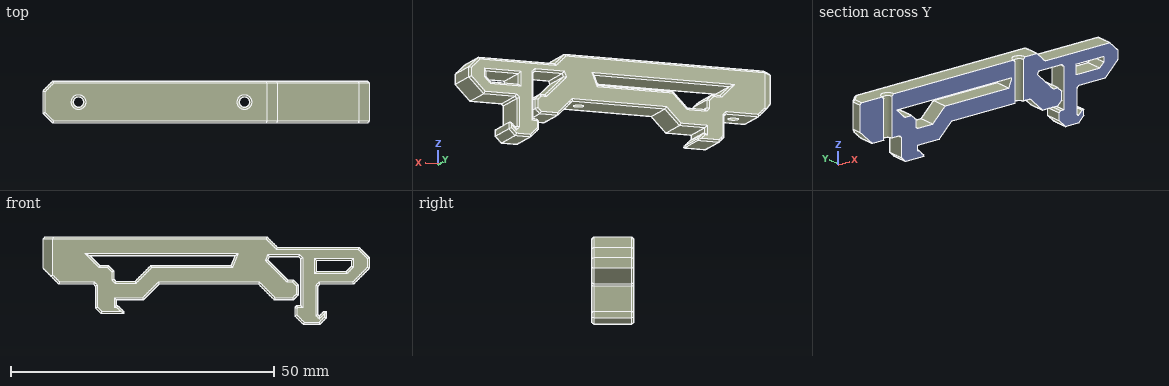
import cadquery as cq

LENGTH = 62.0
WIDTH = 8.0
HEIGHT = 16.6

EDGE_CHAMFER = 0.4
END_CORNER = 1.85

TOP = 0.0
STEP_TOP = -2.0
BEAM_BOTTOM = -9.0
LUG_BOTTOM = -11.95
CATCH_TOP = -13.0
LEFT_FOOT_BOTTOM = -14.6
RIGHT_FOOT_BOTTOM = -HEIGHT

LEFT_FOOT_X = 10.0
LEFT_CATCH_X = 13.95
LEFT_CATCH_TIP_X = 15.4
LEFT_CATCH_TIP_HEIGHT = 0.4
LEFT_FOOT_CORNER = 1.05

LEFT_END_SLOPE = 3.05
BEAM_BOTTOM_LEFT_X = 22.1
BEAM_BOTTOM_RIGHT_X = 40.9
LUG_DROP = BEAM_BOTTOM - LUG_BOTTOM

NOSE_X = 48.5
NOSE_TOP = -8.2
NOSE_CORNER = 0.9
NOSE_TOP_LEFT_X = 46.5

OPENING_TOP = -3.8
OPENING_LEFT_X = 42.95
OPENING_CORNER_X = 42.7

LEG_LEFT_X = 48.9
LEG_RIGHT_X = 52.2
INNER_CORNER = 0.4
LEG_FOOT_X = 47.8
LEG_FOOT_CORNER = 1.6
HOOK_X = 53.8
HOOK_TOP = -14.15
HOOK_CORNER = 1.25
HOOK_VALLEY_X = 52.45
HOOK_VALLEY_Z = -15.0

STEP_START_X = 42.55
RIGHT_END_UPPER_CORNER = 2.0
RIGHT_END_LOWER_CORNER = 3.05

LONG_TOP = -3.6
LONG_SHELF = -5.45
LONG_BOTTOM = -8.45
LONG_TOP_LEFT_X = 9.0
LONG_TOP_RIGHT_X = 36.45
LONG_SHELF_RIGHT_X = 35.7
LONG_SLOPE_TOP_X = 20.45
LONG_WALL_X = 13.5
LONG_WALL_CORNER = 1.05

SHORT_LEFT_X = 51.95
SHORT_RIGHT_X = 58.5
SHORT_TOP = -4.5
SHORT_BOTTOM = -6.6
SHORT_CORNER = 1.0

HOLE_DIAMETER = 1.9
HOLE_MOUTH_DIAMETER = 2.8
HOLE_XS = (6.75, 38.25)


def prism(points):
    """Extrude an X-Z outline across the full width, centred on Y = 0."""
    return cq.Workplane("XZ").polyline(points).close().extrude(WIDTH / 2, both=True)


def side_profile():
    """Outer outline, clockwise from the top left, with both hooks running to sharp points."""
    right_end = [
        (0, TOP),
        (STEP_START_X, TOP),
        (STEP_START_X + (TOP - STEP_TOP), STEP_TOP),
        (LENGTH - RIGHT_END_UPPER_CORNER, STEP_TOP),
        (LENGTH, STEP_TOP - RIGHT_END_UPPER_CORNER),
        (LENGTH, BEAM_BOTTOM + RIGHT_END_LOWER_CORNER),
        (LENGTH - RIGHT_END_LOWER_CORNER, BEAM_BOTTOM),
    ]
    leg = [
        (LEG_RIGHT_X + INNER_CORNER, BEAM_BOTTOM),
        (LEG_RIGHT_X, BEAM_BOTTOM - INNER_CORNER),
        (LEG_RIGHT_X, HOOK_VALLEY_Z + (HOOK_VALLEY_X - LEG_RIGHT_X)),
        (HOOK_VALLEY_X, HOOK_VALLEY_Z),
        (HOOK_X, HOOK_VALLEY_Z + (HOOK_X - HOOK_VALLEY_X)),
        (HOOK_X, RIGHT_FOOT_BOTTOM + HOOK_CORNER),
        (HOOK_X - HOOK_CORNER, RIGHT_FOOT_BOTTOM),
        (LEG_FOOT_X + LEG_FOOT_CORNER, RIGHT_FOOT_BOTTOM),
        (LEG_FOOT_X, RIGHT_FOOT_BOTTOM + LEG_FOOT_CORNER),
        (LEG_FOOT_X, CATCH_TOP - INNER_CORNER),
        (LEG_FOOT_X + INNER_CORNER, CATCH_TOP),
        (LEG_LEFT_X, CATCH_TOP),
        (LEG_LEFT_X, OPENING_TOP - INNER_CORNER),
        (LEG_LEFT_X - INNER_CORNER, OPENING_TOP),
    ]
    nose = [
        (OPENING_LEFT_X, OPENING_TOP),
        (OPENING_CORNER_X, NOSE_TOP + (NOSE_TOP_LEFT_X - OPENING_CORNER_X)),
        (NOSE_TOP_LEFT_X, NOSE_TOP),
        (NOSE_X - NOSE_CORNER, NOSE_TOP),
        (NOSE_X, NOSE_TOP - NOSE_CORNER),
        (NOSE_X, LUG_BOTTOM + NOSE_CORNER),
        (NOSE_X - NOSE_CORNER, LUG_BOTTOM),
    ]
    underside = [
        (BEAM_BOTTOM_RIGHT_X + LUG_DROP, LUG_BOTTOM),
        (BEAM_BOTTOM_RIGHT_X, BEAM_BOTTOM),
        (BEAM_BOTTOM_LEFT_X, BEAM_BOTTOM),
        (BEAM_BOTTOM_LEFT_X - LUG_DROP, LUG_BOTTOM),
    ]
    catch_point_x = LEFT_CATCH_TIP_X + LEFT_CATCH_TIP_HEIGHT
    left_foot = [
        (LEFT_CATCH_X, LUG_BOTTOM),
        (LEFT_CATCH_X, CATCH_TOP),
        (catch_point_x - (CATCH_TOP - LEFT_FOOT_BOTTOM), CATCH_TOP),
        (catch_point_x, LEFT_FOOT_BOTTOM),
        (LEFT_FOOT_X + LEFT_FOOT_CORNER, LEFT_FOOT_BOTTOM),
        (LEFT_FOOT_X, LEFT_FOOT_BOTTOM + LEFT_FOOT_CORNER),
        (LEFT_FOOT_X, BEAM_BOTTOM - INNER_CORNER),
        (LEFT_FOOT_X - INNER_CORNER, BEAM_BOTTOM),
        (LEFT_END_SLOPE, BEAM_BOTTOM),
        (0, BEAM_BOTTOM + LEFT_END_SLOPE),
    ]
    return right_end + leg + nose + underside + left_foot


def long_window():
    """Window between the top of the beam and its cranked underside."""
    return [
        (LONG_TOP_LEFT_X, LONG_TOP),
        (LONG_TOP_RIGHT_X, LONG_TOP),
        (LONG_SHELF_RIGHT_X, LONG_SHELF),
        (LONG_SLOPE_TOP_X, LONG_SHELF),
        (LONG_SLOPE_TOP_X - (LONG_SHELF - LONG_BOTTOM), LONG_BOTTOM),
        (LONG_WALL_X + INNER_CORNER, LONG_BOTTOM),
        (LONG_WALL_X, LONG_BOTTOM + INNER_CORNER),
        (LONG_WALL_X, LONG_SHELF - LONG_WALL_CORNER),
        (LONG_WALL_X - LONG_WALL_CORNER, LONG_SHELF),
        (LONG_TOP_LEFT_X + (LONG_TOP - LONG_SHELF), LONG_SHELF),
    ]


def short_window():
    """Window in the right end, with its lower right corner cut off."""
    return [
        (SHORT_LEFT_X, SHORT_TOP),
        (SHORT_RIGHT_X, SHORT_TOP),
        (SHORT_RIGHT_X, SHORT_BOTTOM + SHORT_CORNER),
        (SHORT_RIGHT_X - SHORT_CORNER, SHORT_BOTTOM),
        (SHORT_LEFT_X, SHORT_BOTTOM),
    ]


def blunting_block(x_min, x_max, z_min, z_max):
    """Full-width block used to cut off a hook point."""
    return prism([(x_min, z_min), (x_max, z_min), (x_max, z_max), (x_min, z_max)])


def left_end_corner(side):
    """Vertical wedge taking off one corner of the left end; side is +1 or -1 in Y."""
    edge_y = side * WIDTH / 2
    points = [(0, edge_y), (END_CORNER, edge_y), (0, edge_y - side * END_CORNER)]
    return cq.Workplane("XY").polyline(points).close().extrude(-HEIGHT)


def screw_hole(x):
    """Through hole with a 45-degree countersunk mouth in the top face."""
    radius = HOLE_DIAMETER / 2
    mouth_radius = HOLE_MOUTH_DIAMETER / 2
    points = [
        (0, TOP),
        (mouth_radius, TOP),
        (radius, TOP - (mouth_radius - radius)),
        (radius, -HEIGHT),
        (0, -HEIGHT),
    ]
    cutter = cq.Workplane("XZ").polyline(points).close().revolve(360, (0, 0), (0, 1))
    return cutter.translate((x, 0, 0))


body = prism(side_profile()).cut(prism(long_window())).cut(prism(short_window()))
for side_face in ("<Y", ">Y"):
    body = body.faces(side_face).edges().chamfer(EDGE_CHAMFER)

for side in (-1, 1):
    body = body.cut(left_end_corner(side))
left_end_box = cq.selectors.BoxSelector(
    (-END_CORNER, -WIDTH, TOP - EDGE_CHAMFER / 2),
    (END_CORNER, WIDTH, TOP + EDGE_CHAMFER / 2),
)
body = body.faces(">Z").edges(left_end_box).chamfer(EDGE_CHAMFER)

body = body.cut(blunting_block(LEFT_CATCH_TIP_X, BEAM_BOTTOM_LEFT_X, LEFT_FOOT_BOTTOM, CATCH_TOP))
body = body.cut(blunting_block(HOOK_VALLEY_X, LENGTH, HOOK_TOP, CATCH_TOP))

for hole_x in HOLE_XS:
    body = body.cut(screw_hole(hole_x))

result = body